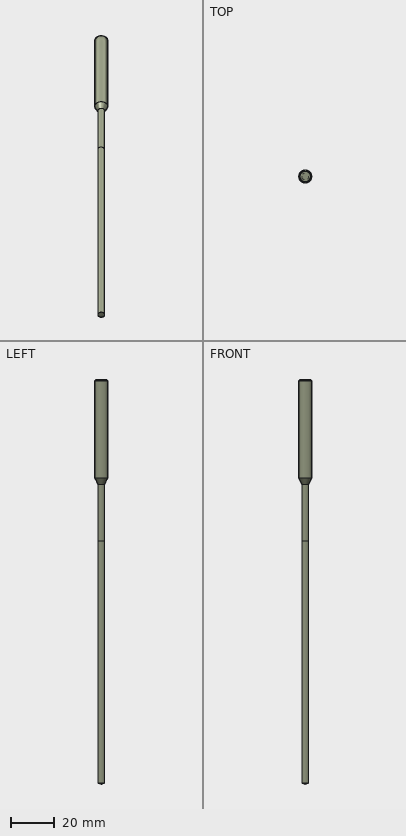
import cadquery as cq
import math

shank_diameter = 6.0
shank_length = 45.0
shank_chamfer = 0.6
taper_half_angle = 25.0
shank_body_length = 74.0
drill_diameter = 3.2
point_angle = 140.0
length_to_point_corner = 185.0

shank_radius = shank_diameter / 2
drill_radius = drill_diameter / 2
point_height = drill_radius / math.tan(math.radians(point_angle / 2))
overall_length = length_to_point_corner + point_height
joint_height = overall_length - shank_body_length
shank_bottom = overall_length - shank_length
taper_length = (shank_radius - drill_radius) / math.tan(math.radians(taper_half_angle))
taper_bottom = shank_bottom - taper_length


def revolve_about_z(profile):
    """Turn a closed (radius, height) profile into a solid around Z."""
    return cq.Workplane("XZ").polyline(profile).close().revolve(360, (0, 0), (0, 1))


def make_cutting_body():
    """Drill rod with a conical point."""
    return revolve_about_z([
        (0, 0),
        (drill_radius, point_height),
        (drill_radius, joint_height),
        (0, joint_height),
    ])


def make_shank_body():
    """Neck, taper and chamfered clamping shank."""
    return revolve_about_z([
        (0, joint_height),
        (drill_radius, joint_height),
        (drill_radius, taper_bottom),
        (shank_radius, shank_bottom),
        (shank_radius, overall_length - shank_chamfer),
        (shank_radius - shank_chamfer, overall_length),
        (0, overall_length),
    ])


cutting_body = make_cutting_body()
shank_body = make_shank_body()

result = cq.Compound.makeCompound([cutting_body.val(), shank_body.val()])